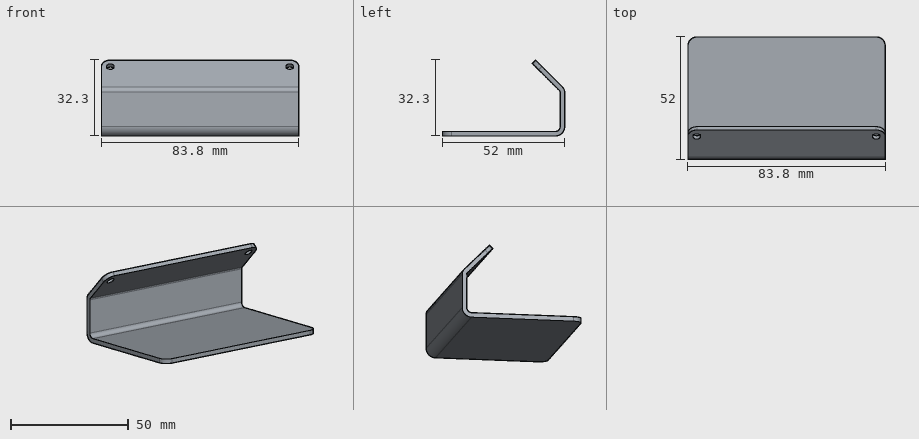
import cadquery as cq
import math

width = 83.8
depth = 52.0
height = 32.3

thickness = 2.0
lower_outer_radius = 2 * thickness
lower_inner_radius = lower_outer_radius - thickness
upper_inner_radius = 1.0
upper_outer_radius = upper_inner_radius + thickness
wall_top = 18.6
lip_angle = 45.0

corner_radius = 3.85
hole_diameter = 3.2

front_y = -depth / 2
back_y = depth / 2

lean = math.radians(lip_angle)
lip_along = (math.sin(lean), math.cos(lean))
lip_normal = (-math.cos(lean), math.sin(lean))

upper_center = (front_y + upper_outer_radius, wall_top)
lip_rise = height - wall_top - upper_outer_radius * lip_normal[1]
lip_length = lip_rise / lip_along[1]


def upper_point(radius, angle):
    """Point on the upper bend; angle runs from the wall toward the lip."""
    return (
        upper_center[0] - radius * math.cos(angle),
        upper_center[1] + radius * math.sin(angle),
    )


def lip_point(radius, distance):
    """Point on a lip face, at a distance from the upper bend."""
    start = upper_point(radius, lean)
    return (start[0] + distance * lip_along[0], start[1] + distance * lip_along[1])


def lower_point(radius, angle):
    """Point on the lower bend; angle runs from the wall toward the base."""
    return (
        front_y + lower_outer_radius - radius * math.cos(angle),
        lower_outer_radius - radius * math.sin(angle),
    )


def bent_sheet():
    """Constant-thickness profile of base, wall and lip, extruded along X."""
    quarter = math.pi / 2
    return (
        cq.Workplane("YZ")
        .moveTo(back_y, 0)
        .lineTo(*lower_point(lower_outer_radius, quarter))
        .threePointArc(
            lower_point(lower_outer_radius, quarter / 2),
            lower_point(lower_outer_radius, 0),
        )
        .lineTo(*upper_point(upper_outer_radius, 0))
        .threePointArc(
            upper_point(upper_outer_radius, lean / 2),
            upper_point(upper_outer_radius, lean),
        )
        .lineTo(*lip_point(upper_outer_radius, lip_length))
        .lineTo(*lip_point(upper_inner_radius, lip_length))
        .lineTo(*upper_point(upper_inner_radius, lean))
        .threePointArc(
            upper_point(upper_inner_radius, lean / 2),
            upper_point(upper_inner_radius, 0),
        )
        .lineTo(*lower_point(lower_inner_radius, 0))
        .threePointArc(
            lower_point(lower_inner_radius, quarter / 2),
            lower_point(lower_inner_radius, quarter),
        )
        .lineTo(back_y, thickness)
        .close()
        .extrude(width / 2, both=True)
    )


def round_corners(body):
    """Round the two free corners of the base and of the lip."""
    lip_edges = cq.ParallelDirSelector(cq.Vector(0, *lip_normal))
    body = body.edges("|Z and >Y").fillet(corner_radius)
    return body.edges(lip_edges).edges(">Z").fillet(corner_radius)


def lip_holes():
    """Cutters through the lip, concentric with its rounded corners."""
    center = lip_point(upper_outer_radius, lip_length - corner_radius)
    outer_face = cq.Plane(origin=(0, *center), xDir=(1, 0, 0), normal=(0, *lip_normal))
    hole_x = width / 2 - corner_radius
    return (
        cq.Workplane(outer_face)
        .pushPoints([(-hole_x, 0), (hole_x, 0)])
        .circle(hole_diameter / 2)
        .extrude(-thickness)
    )


result = round_corners(bent_sheet()).cut(lip_holes())